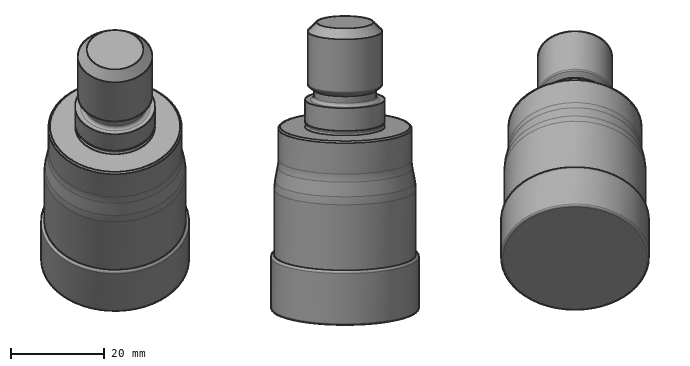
import cadquery as cq
import math

total_height = 63.0

base_radius = 15.9
base_height = 12.0
base_top_fillet = 0.5
base_bottom_fillet = 0.45
barrel_radius = 15.2
nose_radius = 14.3
housing_height = 40.05
nose_chamfer = 0.4

shoulder_bottom = 26.4
shoulder_top = 32.95
blend_height = 1.73

collar_radius = 8.55
collar_top = 46.05
relief_radius = 0.4
waist_length = 0.25
neck_radius = 6.7
neck_fillet = 0.75
shank_radius = 8.0
neck_top = 48.2
shank_bottom = 49.25
shank_fillet = 0.5
tip_chamfer = 1.95
edge_margin = 0.05


def revolve_about_z(profile):
    """Turn a closed (radius, height) profile into a solid of revolution."""
    return profile.close().revolve(360, (0, 0, 0), (0, 1, 0))


def make_housing():
    step = barrel_radius - nose_radius
    span = shoulder_top - shoulder_bottom
    cone_height = span - 2 * blend_height
    slope = step / (cone_height + blend_height)
    angle = math.atan(slope)
    blend_step = (step - cone_height * slope) / 2
    blend_radius = blend_height / math.sin(angle)
    mid_height = blend_radius * math.sin(angle / 2)
    mid_step = blend_radius * (1 - math.cos(angle / 2))

    profile = (
        cq.Workplane("XZ")
        .lineTo(base_radius, 0)
        .lineTo(base_radius, base_height - base_top_fillet)
        .radiusArc((base_radius - base_top_fillet, base_height), -base_top_fillet)
        .lineTo(barrel_radius, base_height)
        .lineTo(barrel_radius, shoulder_bottom)
        .threePointArc(
            (barrel_radius - mid_step, shoulder_bottom + mid_height),
            (barrel_radius - blend_step, shoulder_bottom + blend_height),
        )
        .lineTo(nose_radius + blend_step, shoulder_top - blend_height)
        .threePointArc(
            (nose_radius + mid_step, shoulder_top - mid_height),
            (nose_radius, shoulder_top),
        )
        .lineTo(nose_radius, housing_height - nose_chamfer)
        .lineTo(nose_radius - nose_chamfer, housing_height)
        .lineTo(0, housing_height)
    )
    body = revolve_about_z(profile)
    return body.faces("<Z").edges().fillet(base_bottom_fillet)


def make_stud():
    waist_radius = collar_radius - relief_radius
    waist_bottom = housing_height + relief_radius
    waist_top = waist_bottom + waist_length
    collar_bottom = waist_top + relief_radius
    profile = (
        cq.Workplane("XZ")
        .moveTo(0, housing_height)
        .lineTo(collar_radius, housing_height)
        .radiusArc((waist_radius, waist_bottom), relief_radius)
        .lineTo(waist_radius, waist_top)
        .radiusArc((collar_radius, collar_bottom), relief_radius)
        .lineTo(collar_radius, collar_top)
        .lineTo(neck_radius + neck_fillet, collar_top)
        .radiusArc((neck_radius, collar_top + neck_fillet), neck_fillet)
        .lineTo(neck_radius, neck_top)
        .lineTo(shank_radius, shank_bottom)
        .lineTo(shank_radius, total_height - tip_chamfer)
        .lineTo(shank_radius - tip_chamfer, total_height)
        .lineTo(0, total_height)
    )
    stud_body = revolve_about_z(profile)
    corner = cq.selectors.BoxSelector(
        (-shank_radius, -shank_radius, shank_bottom - edge_margin),
        (shank_radius, shank_radius, shank_bottom + edge_margin),
    )
    return stud_body.edges("%CIRCLE").edges(corner).fillet(shank_fillet)


housing = make_housing()
stud = make_stud()

result = cq.Compound.makeCompound([housing.val(), stud.val()])